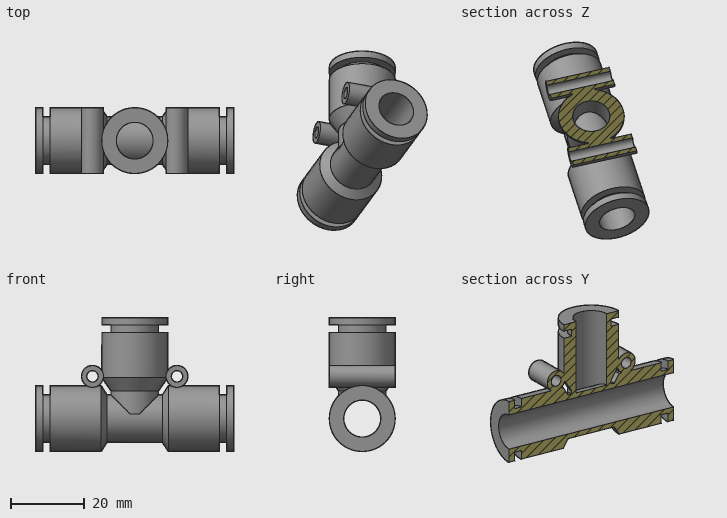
import cadquery as cq

run_length = 54.0
body_diameter = 18.0
neck_diameter = 13.0
bore_diameter = 10.0
branch_height = 27.5
collar_width = 2.0
groove_width = 2.0

run_socket_start = 9.1
run_taper_start = 7.5
branch_socket_start = 11.1
branch_taper_start = 7.5
branch_stub_start = 1.3

eyelet_diameter = 6.0
eyelet_hole_diameter = 3.0
eyelet_offset = 11.5

body_radius = body_diameter / 2
neck_radius = neck_diameter / 2
bore_radius = bore_diameter / 2


def port(start, taper_start, socket_start, end):
    """Solid port along +Z: neck, taper, socket body, groove and collar."""
    collar_start = end - collar_width
    groove_start = collar_start - groove_width
    profile = [
        (0, start),
        (neck_radius, start),
        (neck_radius, taper_start),
        (body_radius, socket_start),
        (body_radius, groove_start),
        (neck_radius, groove_start),
        (neck_radius, collar_start),
        (body_radius, collar_start),
        (body_radius, end),
        (0, end),
    ]
    return cq.Workplane("XZ").polyline(profile).close().revolve(360, (0, 0), (0, 1))


def cross_cylinder(radius, x, z):
    """Cylinder along Y, as wide as the body and centred on the XZ plane."""
    return (
        cq.Workplane("XZ", origin=(0, body_radius, 0))
        .center(x, z)
        .circle(radius)
        .extrude(body_diameter)
    )


branch = port(branch_stub_start, branch_taper_start, branch_socket_start, branch_height)
branch_bore = cq.Workplane("XY").circle(bore_radius).extrude(branch_height)
result = branch.cut(branch_bore)

run_port = port(0, run_taper_start, run_socket_start, run_length / 2)
for angle in (-90, 90):
    result = result.union(run_port.rotate((0, 0, 0), (0, 1, 0), angle))

for side in (-1, 1):
    result = result.union(cross_cylinder(eyelet_diameter / 2, side * eyelet_offset, eyelet_offset))
for side in (-1, 1):
    result = result.cut(cross_cylinder(eyelet_hole_diameter / 2, side * eyelet_offset, eyelet_offset))

run_bore = cq.Workplane("YZ").circle(bore_radius).extrude(run_length / 2, both=True)
result = result.cut(run_bore)